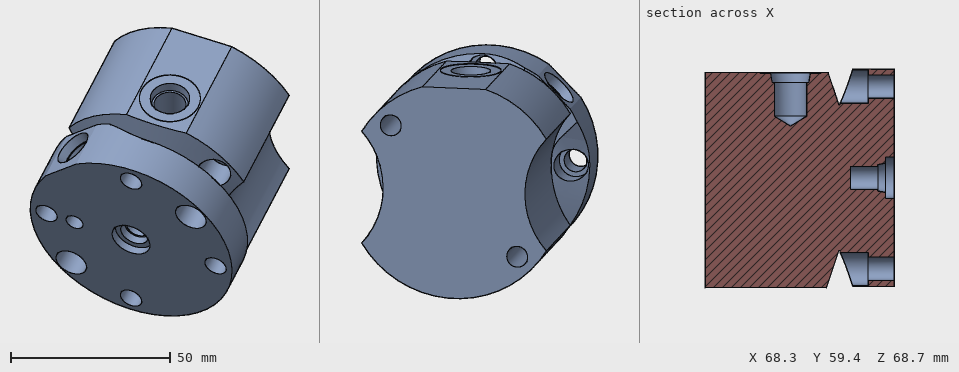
import cadquery as cq
import math

total_length = 59.35
flange_radius = 34.15
flange_length = 17.3
flange_rim_length = 13.05
neck_radius = 22.7

body_radius = 34.55
body_shoulder = 21.2
top_flat_half_width = 10.1
scallop_half_height = 17.9
scallop_depth = 6.9

pad_direction = 135.0
pad_half_width = 11.7
pad_side_run = 9.95
pad_valley_radius = 27.5
facet_half_width = 7.3

bolt_circle_radius = 28.6
flange_bolt_diameter = 7.2
flange_bolt_head_depth = 8.25
tie_bolt_diameter = 6.65
bolt_head_diameter = 10.3
tie_bolt_head_end = 27.5

port_diameter = 12.45
port_root_diameter = 11.4
port_bore_diameter = 10.0
port_thread_depth = 3.1
port_depth = 13.75
drill_tip_angle = 118.0
body_port_y = 32.6
flange_port_y = 9.7
seal_face_diameter = 19.1
seal_face_depth = 0.2

center_recess_diameter = 12.8
center_recess_depth = 2.75
center_mouth_diameter = 9.2
center_root_diameter = 8.25
center_taper_end = 5.15
center_bore_diameter = 7.1
center_bore_depth = 13.75

pin_diameter = 5.7
pin_x = -19.1
pin_depth = 8.25

top_flat_z = math.sqrt(body_radius**2 - top_flat_half_width**2)
facet_distance = math.sqrt(flange_radius**2 - facet_half_width**2)

overshoot = 3.45


def rod(diameter, start, end, x=0, z=0):
    """Cylinder along Y between two Y positions."""
    return cq.Workplane(cq.Solid.makeCylinder(
        diameter / 2, end - start, cq.Vector(x, start, z), cq.Vector(0, 1, 0)))


def polar(radius, degrees):
    angle = math.radians(degrees)
    return radius * math.cos(angle), radius * math.sin(angle)


def revolve_about_y(points):
    return cq.Workplane("XY").polyline(points).close().revolve(360, (0, 0, 0), (0, 1, 0))


def make_flange():
    """Disc with a conical back, extended by a flat-backed pad toward the port."""
    coned = revolve_about_y([
        (0, 0),
        (flange_radius, 0),
        (flange_radius, flange_rim_length),
        (neck_radius, flange_length),
        (0, flange_length),
    ])
    foot_half_width = pad_half_width + pad_side_run
    pad = (
        cq.Workplane("XY")
        .polyline([
            (-foot_half_width, 0),
            (-foot_half_width, flange_rim_length),
            (-pad_half_width, flange_length),
            (pad_half_width, flange_length),
            (foot_half_width, flange_rim_length),
            (foot_half_width, 0),
        ])
        .close()
        .extrude(flange_radius)
        .rotate((0, 0, 0), (0, 1, 0), 90 - pad_direction)
        .intersect(rod(2 * flange_radius, 0, flange_length))
    )
    flange = coned.union(pad)
    middle_y = (flange_rim_length + flange_length) / 2
    middle_radius = (flange_radius + neck_radius) / 2
    middle_half_width = pad_half_width + pad_side_run / 2
    spread = math.degrees(math.asin(middle_half_width / middle_radius))
    for side in (-1, 1):
        x, z = polar(middle_radius, pad_direction + side * spread)
        valley = cq.selectors.NearestToPointSelector((x, middle_y, z))
        flange = flange.edges(valley).fillet(pad_valley_radius)

    facet = (
        cq.Workplane("XY")
        .box(overshoot, flange_length, 2 * flange_radius, centered=(False, False, True))
        .translate((facet_distance, 0, 0))
        .rotate((0, 0, 0), (0, 1, 0), -pad_direction)
    )
    return flange.cut(facet)


def make_body():
    """Conical-fronted cylinder with a top flat and two scalloped sides."""
    body = revolve_about_y([
        (0, flange_length),
        (neck_radius, flange_length),
        (body_radius, body_shoulder),
        (body_radius, total_length),
        (0, total_length),
    ])
    flat = cq.Workplane("XY").box(
        2 * body_radius, total_length, overshoot, centered=(True, False, False)
    ).translate((0, 0, top_flat_z))
    body = body.cut(flat)

    corner_x = math.sqrt(body_radius**2 - scallop_half_height**2)
    scallop_radius = (scallop_half_height**2 + scallop_depth**2) / (2 * scallop_depth)
    scallop_x = corner_x - scallop_depth + scallop_radius
    for side in (-1, 1):
        body = body.cut(rod(2 * scallop_radius, flange_length, total_length, side * scallop_x))
    return body


def make_port():
    """Tapered, stepped, cone-tipped port cutter along +X, with its mouth at X = 0."""
    bore_radius = port_bore_diameter / 2
    tip = bore_radius / math.tan(math.radians(drill_tip_angle / 2))
    return (
        cq.Workplane("XY")
        .polyline([
            (overshoot, 0),
            (overshoot, port_diameter / 2),
            (0, port_diameter / 2),
            (-port_thread_depth, port_root_diameter / 2),
            (-port_thread_depth, bore_radius),
            (-port_depth, bore_radius),
            (-port_depth - tip, 0),
        ])
        .close()
        .revolve(360, (0, 0, 0), (1, 0, 0))
    )


def place_port(port, distance, y, direction):
    return port.translate((distance, y, 0)).rotate((0, 0, 0), (0, 1, 0), -direction)


flange = make_flange()

for angle in (0, 90, 180, 270):
    x, z = polar(bolt_circle_radius, angle)
    flange = flange.cut(rod(flange_bolt_diameter, 0, flange_length, x, z))
    flange = flange.cut(rod(bolt_head_diameter, flange_bolt_head_depth, flange_length, x, z))

result = flange.union(make_body())

for angle in (45, 225):
    x, z = polar(bolt_circle_radius, angle)
    result = result.cut(rod(tie_bolt_diameter, 0, total_length, x, z))
    result = result.cut(rod(bolt_head_diameter, 0, tie_bolt_head_end, x, z))

center_bore = revolve_about_y([
    (0, 0),
    (center_recess_diameter / 2, 0),
    (center_recess_diameter / 2, center_recess_depth),
    (center_mouth_diameter / 2, center_recess_depth),
    (center_root_diameter / 2, center_taper_end),
    (center_bore_diameter / 2, center_taper_end),
    (center_bore_diameter / 2, center_bore_depth),
    (0, center_bore_depth),
])
result = result.cut(center_bore)

result = result.cut(rod(pin_diameter, 0, pin_depth, pin_x))

port = make_port()
seal_face = cq.Workplane("YZ").circle(seal_face_diameter / 2).extrude(overshoot)
seal_face = seal_face.translate((-seal_face_depth, 0, 0))
for cutter in (port, seal_face):
    result = result.cut(place_port(cutter, top_flat_z, body_port_y, 90))
result = result.cut(place_port(port, facet_distance, flange_port_y, pad_direction))